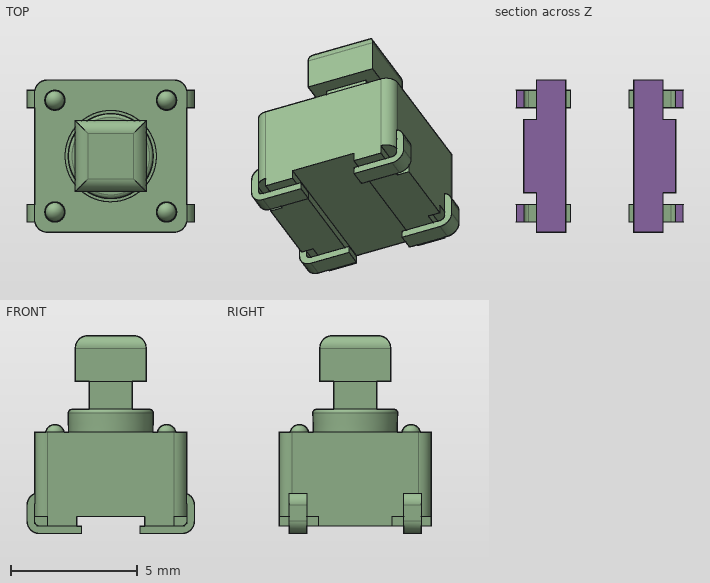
import cadquery as cq
import math

body_width = 6.0
body_top = 4.0
body_corner_radius = 0.5
foot_height = 0.37
channel_width = 2.66
corner_relief_y = 1.45

lead_thickness = 0.3
lead_width = 0.7
lead_bend_radius = 0.5
lead_upper_bend_z = 1.12
lead_tip_x = 1.15
lead_y = 2.25

rivet_pitch = 4.4
rivet_diameter = 0.75
rivet_hole_diameter = 0.8
rivet_rise = 0.3

bore_diameter = 3.6
recess_depth = 0.5
plunger_diameter = 3.36
plunger_root_diameter = 3.33
plunger_top = 4.9
plunger_fillet = 0.15
stem_width = 1.7
cap_width = 2.8
cap_bottom = 6.0
cap_top = 7.8
cap_fillet = 0.5

body_bottom = lead_thickness
foot_top = body_bottom + foot_height
recess_floor = body_top - recess_depth
half_body = body_width / 2


def block(size_x, size_y, bottom, top):
    """Box centred on the Z axis between two heights."""
    return cq.Workplane("XY").workplane(offset=bottom).rect(size_x, size_y).extrude(top - bottom)


def make_housing():
    """Round-cornered housing on feet, with clearance holes in its top."""
    housing = block(body_width, body_width, body_bottom, body_top)
    housing = housing.edges("|Z").fillet(body_corner_radius)

    channel = block(channel_width, body_width, body_bottom, foot_top)
    housing = housing.cut(channel)

    relief_x = body_corner_radius
    relief_y = half_body - corner_relief_y
    reliefs = (
        cq.Workplane("XY")
        .workplane(offset=body_bottom)
        .rarray(body_width - relief_x, body_width - relief_y, 2, 2)
        .rect(relief_x, relief_y)
        .extrude(foot_height)
    )
    housing = housing.cut(reliefs)

    top_plane = cq.Workplane("XY").workplane(offset=body_top)
    bore = top_plane.circle(bore_diameter / 2).extrude(-recess_depth)
    rivet_holes = (
        top_plane.rarray(rivet_pitch, rivet_pitch, 2, 2)
        .circle(rivet_hole_diameter / 2)
        .extrude(-recess_depth)
    )
    return housing.cut(bore).cut(rivet_holes)


def make_lead():
    """Lead at +X, +Y: out of the housing side, down, and inward under the foot."""
    outer_x = half_body + lead_thickness
    bend_x = outer_x - lead_bend_radius
    inner_radius = lead_bend_radius - lead_thickness
    diagonal = math.sqrt(0.5)
    outer_diagonal = lead_bend_radius * diagonal
    inner_diagonal = inner_radius * diagonal
    upper_z = lead_upper_bend_z
    lower_z = lead_bend_radius
    profile = (
        cq.Workplane("XZ")
        .moveTo(lead_tip_x, 0)
        .lineTo(bend_x, 0)
        .threePointArc((bend_x + outer_diagonal, lower_z - outer_diagonal), (outer_x, lower_z))
        .lineTo(outer_x, upper_z)
        .threePointArc(
            (bend_x + outer_diagonal, upper_z + outer_diagonal),
            (bend_x, upper_z + lead_bend_radius),
        )
        .lineTo(bend_x, upper_z + inner_radius)
        .threePointArc((bend_x + inner_diagonal, upper_z + inner_diagonal), (half_body, upper_z))
        .lineTo(half_body, lower_z)
        .threePointArc((bend_x + inner_diagonal, lower_z - inner_diagonal), (bend_x, lead_thickness))
        .lineTo(lead_tip_x, lead_thickness)
        .close()
    )
    return profile.extrude(lead_width / 2, both=True).translate((0, lead_y, 0))


def make_rivet():
    """Domed pin standing on the floor of its hole, on the Z axis."""
    radius = rivet_diameter / 2
    dome_center_z = body_top + rivet_rise - radius
    pin = (
        cq.Workplane("XY")
        .workplane(offset=recess_floor)
        .circle(radius)
        .extrude(dome_center_z - recess_floor)
    )
    dome = cq.Workplane("XY").sphere(radius).translate((0, 0, dome_center_z))
    return pin.union(dome)


def make_plunger():
    """Slightly tapered round plunger, square stem and square cap with rounded top edges."""
    plunger = (
        cq.Workplane("XZ")
        .moveTo(0, recess_floor)
        .lineTo(plunger_root_diameter / 2, recess_floor)
        .lineTo(plunger_diameter / 2, plunger_top)
        .lineTo(0, plunger_top)
        .close()
        .revolve(360, (0, 0, 0), (0, 1, 0))
        .faces(">Z")
        .edges()
        .fillet(plunger_fillet)
    )
    stem = block(stem_width, stem_width, plunger_top, cap_bottom)
    cap = block(cap_width, cap_width, cap_bottom, cap_top).faces(">Z").edges().fillet(cap_fillet)
    return plunger.union(stem).union(cap)


result = make_housing().union(make_plunger())

right_lead = make_lead()
left_lead = right_lead.mirror("YZ")
for lead in (right_lead, left_lead):
    result = result.union(lead).union(lead.mirror("XZ"))

rivet = make_rivet()
for side_x in (-1, 1):
    for side_y in (-1, 1):
        offset = (side_x * rivet_pitch / 2, side_y * rivet_pitch / 2, 0)
        result = result.union(rivet.translate(offset))